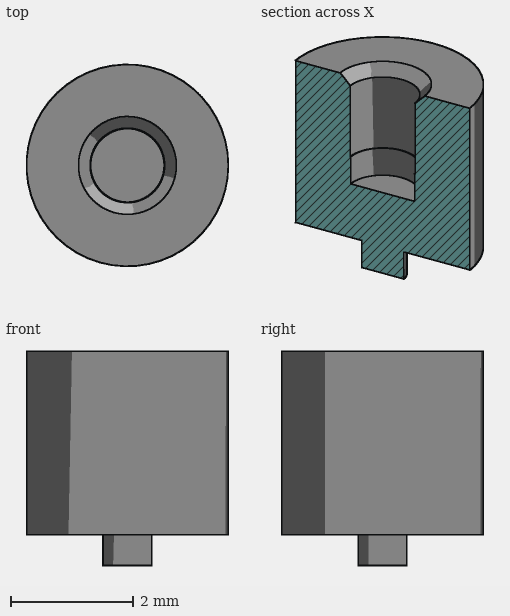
import cadquery as cq

body_diameter = 3.3
body_height = 3.0
pin_diameter = 0.8
pin_length = 0.5
mouth_diameter = 1.6
upper_bore_diameter = 1.22
lower_bore_diameter = 1.2
lead_in_depth = (mouth_diameter - upper_bore_diameter) / 2
upper_bore_depth = 1.5
socket_depth = 2.0


def make_body():
    """Plain cylinder standing on Z = 0."""
    return cq.Workplane("XY").circle(body_diameter / 2).extrude(body_height)


def make_pin():
    """Round pin hanging below the body."""
    return cq.Workplane("XY").circle(pin_diameter / 2).extrude(-pin_length)


def make_bore(diameter, depth):
    """Round cutter reaching down from the top face."""
    top = cq.Workplane("XY").workplane(offset=body_height)
    return top.circle(diameter / 2).extrude(-depth)


def make_lead_in():
    """Conical cutter narrowing from the socket mouth to the upper bore."""
    top = cq.Workplane("XY").workplane(offset=body_height)
    mouth = top.circle(mouth_diameter / 2)
    return mouth.workplane(offset=-lead_in_depth).circle(upper_bore_diameter / 2).loft()


socket = (
    make_bore(lower_bore_diameter, socket_depth)
    .union(make_bore(upper_bore_diameter, upper_bore_depth))
    .union(make_lead_in())
)

result = make_body().union(make_pin()).cut(socket)